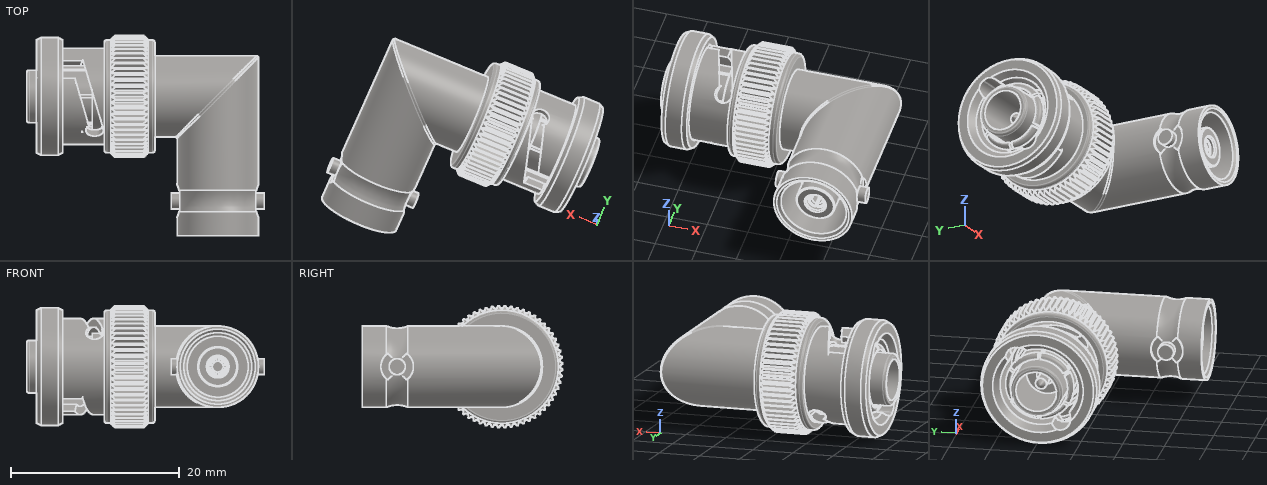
import cadquery as cq


OVERLAP = 0.28

TUBE_D = 9.65
KNURL_D = 14.45
ELBOW_X = 22.62
MITER_BEVEL = 0.17
JACK_FACE_Y = KNURL_D / 2 - 23.75

PIN_D = 1.9
PIN_SPAN = 2 * (28.13 - ELBOW_X)
PIN_Y = -12.38
SPOT_D = 3.85
SPOT_OFFSET = 4.5
GROOVE_WIDTH = 2.53
GROOVE_DEPTH = 0.25

MOUTH_D = 8.9
MOUTH_THROAT_D = 8.05
MOUTH_LEAD = 0.35
SOCKET_FLOOR_D = 7.23
SOCKET_DEPTH = 6.2
JACK_POST_D = 4.73
JACK_POST_RECESS = 1.07
JACK_POST_CHAMFER = 0.1
CONTACT_BORE_D = 2.33
CONTACT_BORE_CHAMFER = 0.17
CONTACT_D = 2.15
CONTACT_HOLE_D = 1.3
CONTACT_DEPTH = 2.25
CONTACT_RECESS = 0.55
CONTACT_LEAD = 0.23
CONTACT_SLIT = 0.23
CONTACT_SLIT_DEPTH = 1.4

COLLAR_START = 1.15
COLLAR_END = 4.28
COLLAR_D = 13.95
RIM_D = 13.4
COLLAR_CHAMFER = 0.55
BARREL_D = 11.42
RING_START = 9.17
RING_END = 15.2
RING_ROUND = 0.35
BORE_D = 9.4
BORE_LEAD = 0.75
BORE_END = 9.28
REAR_BORE_D = 8.58
REAR_BORE_END = 10.13

TOOTH_COUNT = 60
KNURL_START = 9.93
KNURL_END = 14.37
KNURL_ROOT_D = 13.55
TOOTH_CREST = 0.15
TOOTH_BASE = 0.65

CHANNEL_ANGLE = 35.0
CHANNEL_WIDTH = 2.6
CHANNEL_INNER_R = 3.95
CHANNEL_OUTER_R = 5.8
CHANNEL_CORNER = 1.27
RAMP_OUTLINE = [(5.75, 2.05), (6.65, 4.33), (9.0, -3.6), (7.3, -3.3)]
CHANNEL_END = RAMP_OUTLINE[1][0]
LATCH_X = 8.05
LATCH_ANGLE = -45.0
LATCH_D = 2.05

FINGER_START = 1.83
FINGER_D = 7.23
FINGER_BORE_D = 6.9
LIP_D = 8.2
LIP_LENGTH = 1.13
FINGER_END = 7.74
FINGER_BASE_D = 7.88
SLIT_COUNT = 6
SLIT_WIDTH = 0.35
SLEEVE_D = 6.25
SLEEVE_BORE_D = 4.87
SLEEVE_ROUND = 0.28
SLEEVE_FLOOR = 6.75
PIN_TIP = 2.25
PIN_CONE = 0.85
CENTER_PIN_D = 1.32
PIN_BASE_D = 2.17
PIN_BASE_LENGTH = 0.55


def rod_x(start, end, diameter, y=0):
    """Cylinder parallel to X."""
    return cq.Workplane("YZ", origin=(start, y, 0)).circle(diameter / 2).extrude(end - start)


def turn_x(profile):
    """Solid of revolution about the plug axis from (x, radius) points."""
    return cq.Workplane("XY").polyline(profile).close().revolve(360, (0, 0, 0), (1, 0, 0))


def turn_jack(profile):
    """Solid of revolution about the jack axis from (radius, depth behind the mouth) points."""
    jack = cq.Workplane("XY", origin=(ELBOW_X, JACK_FACE_Y, 0))
    return jack.polyline(profile).close().revolve(360, (0, 0, 0), (0, 1, 0))


def about_plug(solid, angle):
    """Solid turned about the plug axis by an angle in degrees."""
    return solid.rotate((0, 0, 0), (1, 0, 0), angle)


def make_elbow():
    """Solid mitered tube with a small bevel along the miter."""
    path = cq.Workplane("XY").moveTo(REAR_BORE_END, 0).lineTo(ELBOW_X, 0).lineTo(ELBOW_X, JACK_FACE_Y)
    start = cq.Workplane("YZ", origin=(REAR_BORE_END, 0, 0)).circle(TUBE_D / 2)
    elbow = start.sweep(path, transition="right")
    return elbow.edges("%ELLIPSE").chamfer(MITER_BEVEL)


def add_bayonet_pins(body):
    """Shallow groove around the jack and two opposite pins, each on a flat spot face."""
    rim, floor = TUBE_D / 2, TUBE_D / 2 - GROOVE_DEPTH
    groove = (
        cq.Workplane("XY", origin=(ELBOW_X, PIN_Y, 0))
        .moveTo(rim, -GROOVE_WIDTH / 2)
        .threePointArc((floor, 0), (rim, GROOVE_WIDTH / 2))
        .lineTo(rim + OVERLAP, GROOVE_WIDTH / 2)
        .lineTo(rim + OVERLAP, -GROOVE_WIDTH / 2)
        .close()
        .revolve(360, (0, 0, 0), (0, 1, 0))
    )
    body = body.cut(groove)
    reach = PIN_SPAN / 2
    for inner, outer in ((SPOT_OFFSET, reach), (-reach, -SPOT_OFFSET)):
        body = body.cut(rod_x(ELBOW_X + inner, ELBOW_X + outer, SPOT_D, PIN_Y))
        body = body.union(rod_x(ELBOW_X + inner, ELBOW_X + outer, PIN_D, PIN_Y))
    return body


def cut_jack_socket(body):
    """Tapered mouth around an insulating post that holds the slit center contact."""
    post_r = JACK_POST_D / 2
    socket = turn_jack([
        (0, 0),
        (MOUTH_D / 2, 0),
        (MOUTH_THROAT_D / 2, MOUTH_LEAD),
        (SOCKET_FLOOR_D / 2, SOCKET_DEPTH),
        (post_r, SOCKET_DEPTH),
        (post_r, JACK_POST_RECESS + JACK_POST_CHAMFER),
        (post_r - JACK_POST_CHAMFER, JACK_POST_RECESS),
        (0, JACK_POST_RECESS),
    ])
    bore_r, hole_r = CONTACT_BORE_D / 2, CONTACT_HOLE_D / 2
    contact_floor = JACK_POST_RECESS + CONTACT_DEPTH
    bore = turn_jack([
        (0, JACK_POST_RECESS),
        (bore_r + CONTACT_BORE_CHAMFER, JACK_POST_RECESS),
        (bore_r, JACK_POST_RECESS + CONTACT_BORE_CHAMFER),
        (bore_r, contact_floor),
        (0, contact_floor),
    ])
    contact_tip = JACK_POST_RECESS + CONTACT_RECESS
    contact = turn_jack([
        (hole_r, contact_tip + CONTACT_LEAD),
        (hole_r + CONTACT_LEAD, contact_tip),
        (CONTACT_D / 2, contact_tip),
        (CONTACT_D / 2, contact_floor),
        (hole_r, contact_floor),
    ])
    slit_y = JACK_FACE_Y + contact_tip + CONTACT_SLIT_DEPTH / 2
    for size_x, size_z in ((CONTACT_D, CONTACT_SLIT), (CONTACT_SLIT, CONTACT_D)):
        slit = cq.Workplane("XY", origin=(ELBOW_X, slit_y, 0)).box(size_x, CONTACT_SLIT_DEPTH, size_z)
        contact = contact.cut(slit)
    return body.cut(socket).cut(bore).union(contact)


def make_nut():
    """Hollow collar and barrel joined to a round-edged solid ring."""
    rim_r, collar_r, barrel_r = RIM_D / 2, COLLAR_D / 2, BARREL_D / 2
    bore_r, rear_r = BORE_D / 2, REAR_BORE_D / 2
    barrel = turn_x([
        (COLLAR_START, bore_r + BORE_LEAD),
        (COLLAR_START, rim_r),
        (COLLAR_START + COLLAR_CHAMFER, collar_r),
        (COLLAR_END - COLLAR_CHAMFER, collar_r),
        (COLLAR_END, rim_r),
        (COLLAR_END, barrel_r),
        (REAR_BORE_END, barrel_r),
        (REAR_BORE_END, rear_r),
        (BORE_END, rear_r),
        (BORE_END, bore_r),
        (COLLAR_START + BORE_LEAD, bore_r),
    ])
    ring = rod_x(RING_START, RING_END, RIM_D).edges("%CIRCLE").fillet(RING_ROUND)
    return barrel.union(ring.cut(rod_x(RING_START, REAR_BORE_END, BARREL_D)))


def make_knurl():
    """Ring of straight teeth, beveled at both ends."""
    root_r, crest_r = KNURL_ROOT_D / 2, KNURL_D / 2
    sunk_r = root_r - OVERLAP
    pitch = 360 / TOOTH_COUNT
    teeth = rod_x(KNURL_START, KNURL_END, KNURL_ROOT_D)
    tooth = (
        cq.Workplane("YZ", origin=(KNURL_START, 0, 0))
        .polyline([
            (-TOOTH_BASE / 2, sunk_r),
            (-TOOTH_BASE / 2, root_r),
            (-TOOTH_CREST / 2, crest_r),
            (TOOTH_CREST / 2, crest_r),
            (TOOTH_BASE / 2, root_r),
            (TOOTH_BASE / 2, sunk_r),
        ])
        .close()
        .extrude(KNURL_END - KNURL_START)
    )
    for index in range(TOOTH_COUNT):
        teeth = teeth.union(about_plug(tooth, (index + 0.5) * pitch))
    rim_r = RIM_D / 2
    bevel = crest_r - rim_r
    envelope = turn_x([
        (KNURL_START, 0),
        (KNURL_START, rim_r),
        (KNURL_START + bevel, crest_r),
        (KNURL_END - bevel, crest_r),
        (KNURL_END, rim_r),
        (KNURL_END, 0),
    ])
    return teeth.intersect(envelope).cut(rod_x(KNURL_START, KNURL_END, BARREL_D))


def make_bayonet_slot():
    """Entry channel, sloping ramp and round latch hole for one bayonet pin."""
    height = CHANNEL_OUTER_R - CHANNEL_INNER_R
    mid_r = (CHANNEL_OUTER_R + CHANNEL_INNER_R) / 2
    length = CHANNEL_END - COLLAR_START
    channel = (
        cq.Workplane("XY", origin=(COLLAR_START + length / 2, 0, mid_r))
        .box(length, CHANNEL_WIDTH, height)
        .edges("|X and >Z")
        .fillet(CHANNEL_CORNER)
    )
    open_length = CHANNEL_END - COLLAR_END
    opening = (
        cq.Workplane("XY", origin=(COLLAR_END + open_length / 2, 0, mid_r + OVERLAP))
        .box(open_length, CHANNEL_WIDTH, height)
    )
    entry = about_plug(channel.union(opening), -CHANNEL_ANGLE)
    reach = BARREL_D / 2 + OVERLAP
    ramp = cq.Workplane("XY").polyline(RAMP_OUTLINE).close().extrude(reach)
    latch = cq.Workplane("XY", origin=(LATCH_X, 0, 0)).circle(LATCH_D / 2).extrude(reach)
    return entry.union(ramp).union(about_plug(latch, -LATCH_ANGLE))


def make_fingers():
    """Slit outer contact with a rounded lip at its front."""
    bore_r, body_r = FINGER_BORE_D / 2, FINGER_D / 2
    tube = (
        cq.Workplane("XY")
        .moveTo(FINGER_START, bore_r)
        .lineTo(FINGER_START, body_r)
        .threePointArc((FINGER_START + LIP_LENGTH / 2, LIP_D / 2), (FINGER_START + LIP_LENGTH, body_r))
        .lineTo(FINGER_END, body_r)
        .lineTo(FINGER_END, FINGER_BASE_D / 2)
        .lineTo(REAR_BORE_END, FINGER_BASE_D / 2)
        .lineTo(REAR_BORE_END, bore_r)
        .close()
        .revolve(360, (0, 0, 0), (1, 0, 0))
    )
    length = FINGER_END - FINGER_START
    slit = (
        cq.Workplane("XY", origin=(FINGER_START + length / 2, 0, LIP_D / 4))
        .box(length, SLIT_WIDTH, LIP_D / 2)
    )
    for index in range(SLIT_COUNT):
        tube = tube.cut(about_plug(slit, index * 360 / SLIT_COUNT))
    return tube


def make_sleeve():
    """Insulating sleeve with a flat floor and the pointed center pin."""
    sleeve = (
        rod_x(0, REAR_BORE_END, SLEEVE_D)
        .faces("<X").edges().fillet(SLEEVE_ROUND)
        .cut(rod_x(0, SLEEVE_FLOOR, SLEEVE_BORE_D))
    )
    pin = turn_x([
        (PIN_TIP, 0),
        (PIN_TIP + PIN_CONE, CENTER_PIN_D / 2),
        (SLEEVE_FLOOR - PIN_BASE_LENGTH, CENTER_PIN_D / 2),
        (SLEEVE_FLOOR - PIN_BASE_LENGTH, PIN_BASE_D / 2),
        (SLEEVE_FLOOR, PIN_BASE_D / 2),
        (SLEEVE_FLOOR, 0),
    ])
    return sleeve.union(pin)


nut = make_nut().union(make_knurl())
slot = make_bayonet_slot()
nut = nut.cut(slot).cut(about_plug(slot, 180))

elbow = cut_jack_socket(add_bayonet_pins(make_elbow()))

result = elbow.union(nut).union(make_fingers()).union(make_sleeve())